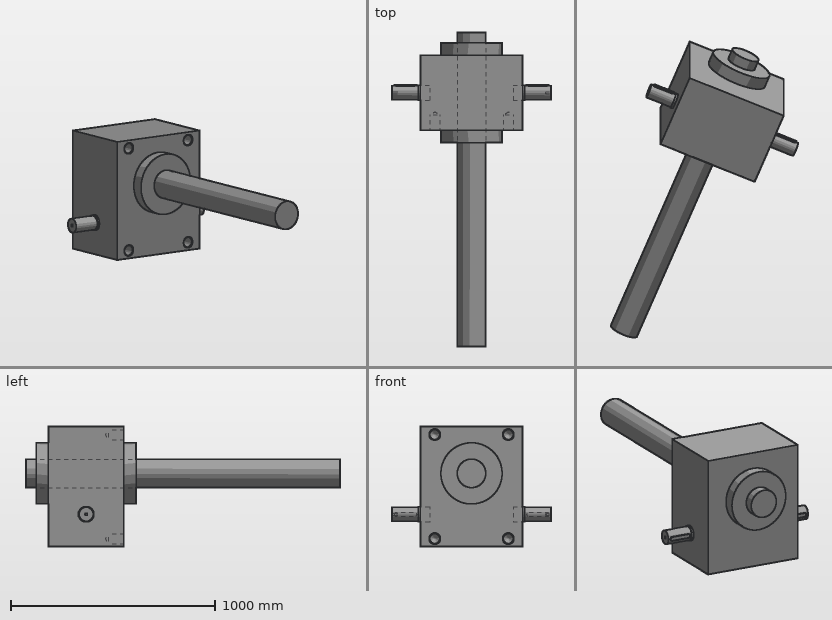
import cadquery as cq


HOUSING_WIDTH = 500.0
HOUSING_DEPTH = 370.0
HOUSING_HEIGHT = 590.0
BOSS_DIAMETER = 300.0
BOSS_PROJECTION = 60.0
BOSS_SPAN = HOUSING_DEPTH + 2 * BOSS_PROJECTION

HOLE_DIAMETER = 50.0
HOLE_MOUTH_DIAMETER = 55.0
HOLE_MOUTH_DEPTH = (HOLE_MOUTH_DIAMETER - HOLE_DIAMETER) / 2
HOLE_DEPTH = 77.0
HOLE_TIP_DEPTH = 15.0
HOLE_SPACING_X = 360.0
HOLE_SPACING_Z = 510.0

SCREW_DIAMETER = 140.0
SCREW_LENGTH = 1540.0
SCREW_FRONT_PROJECTION = 1000.0

STUB_SPAN = 780.0
STUB_DIAMETER = 70.0
JOURNAL_DIAMETER = 75.0
JOURNAL_PROJECTION = 11.0
SEAT_DEPTH = 46.0
CENTRE_HOLE_DIAMETER = 11.9
CENTRE_HOLE_DEPTH = 23.0
CENTRE_HOLE_TIP_DEPTH = CENTRE_HOLE_DIAMETER / 2

KEY_LENGTH = 110.0
KEY_WIDTH = 20.0
KEY_PROJECTION = 5.0
KEY_END_GAP = 11.0

STUB_Z = -135.0
AXIS_DISTANCE = 200.0
SCREW_Z = STUB_Z + AXIS_DISTANCE

HOUSING_FRONT_Y = -HOUSING_DEPTH / 2
BOSS_FRONT_Y = -BOSS_SPAN / 2
SCREW_FRONT_Y = BOSS_FRONT_Y - SCREW_FRONT_PROJECTION
STUB_OUTER_X = STUB_SPAN / 2
JOURNAL_OUTER_X = HOUSING_WIDTH / 2 + JOURNAL_PROJECTION
SEAT_FLOOR_X = HOUSING_WIDTH / 2 - SEAT_DEPTH


def cylinder_along_y(diameter, length, front_y):
    """Cylinder on the screw axis, running from front_y toward +Y."""
    plane = cq.Plane(origin=(0, front_y, SCREW_Z), xDir=(1, 0, 0), normal=(0, 1, 0))
    return cq.Workplane(plane).circle(diameter / 2).extrude(length)


def cylinder_along_x(diameter, side, inner_x, outer_x):
    """Cylinder on the stub axis, on the given X side, between two distances from the middle."""
    plane = cq.Plane(origin=(side * inner_x, 0, STUB_Z), xDir=(0, 1, 0), normal=(side, 0, 0))
    return cq.Workplane(plane).circle(diameter / 2).extrude(outer_x - inner_x)


def make_mounting_hole(x, z):
    """Drilled hole with a chamfered mouth and a conical bottom."""
    plane = cq.Plane(origin=(x, HOUSING_FRONT_Y, z), xDir=(1, 0, 0), normal=(0, 0, 1))
    return (
        cq.Workplane(plane)
        .lineTo(HOLE_MOUTH_DIAMETER / 2, 0)
        .lineTo(HOLE_DIAMETER / 2, HOLE_MOUTH_DEPTH)
        .lineTo(HOLE_DIAMETER / 2, HOLE_DEPTH)
        .lineTo(0, HOLE_DEPTH + HOLE_TIP_DEPTH)
        .close()
        .revolve(360, (0, 0), (0, 1))
    )


def make_stub_seat(side):
    """Blind recess that fits the journal of one drive stub."""
    return cylinder_along_x(JOURNAL_DIAMETER, side, SEAT_FLOOR_X, HOUSING_WIDTH / 2)


def make_housing():
    """Block with bosses, a bore for the screw, stub seats and mounting holes."""
    housing = cq.Workplane("XY").box(HOUSING_WIDTH, HOUSING_DEPTH, HOUSING_HEIGHT)
    housing = housing.union(cylinder_along_y(BOSS_DIAMETER, BOSS_SPAN, BOSS_FRONT_Y))
    housing = housing.cut(cylinder_along_y(SCREW_DIAMETER, BOSS_SPAN, BOSS_FRONT_Y))
    for side in (-1, 1):
        housing = housing.cut(make_stub_seat(side))
        for level in (-1, 1):
            hole = make_mounting_hole(side * HOLE_SPACING_X / 2, level * HOLE_SPACING_Z / 2)
            housing = housing.cut(hole)
    return housing


def make_screw():
    """Plain round lifting screw."""
    return cylinder_along_y(SCREW_DIAMETER, SCREW_LENGTH, SCREW_FRONT_Y)


def make_key(side):
    """Round-ended key that reaches from the stub axis out past the stub surface."""
    centre_x = side * (STUB_OUTER_X - KEY_END_GAP - KEY_LENGTH / 2)
    plane = cq.Plane(origin=(centre_x, 0, STUB_Z), xDir=(1, 0, 0), normal=(0, 1, 0))
    key_top = STUB_DIAMETER / 2 + KEY_PROJECTION
    return cq.Workplane(plane).slot2D(KEY_LENGTH, KEY_WIDTH).extrude(key_top)


def make_centre_hole(side):
    """Small blind hole with a conical bottom in the outer end face of one stub."""
    floor_x = side * CENTRE_HOLE_DEPTH
    tip_x = side * (CENTRE_HOLE_DEPTH + CENTRE_HOLE_TIP_DEPTH)
    radius = CENTRE_HOLE_DIAMETER / 2
    plane = cq.Plane(origin=(side * STUB_OUTER_X, 0, STUB_Z), xDir=(1, 0, 0), normal=(0, 0, 1))
    return (
        cq.Workplane(plane)
        .lineTo(0, radius)
        .lineTo(-floor_x, radius)
        .lineTo(-tip_x, 0)
        .close()
        .revolve(360, (0, 0), (1, 0))
    )


def make_stub(side):
    """Stepped drive stub with a key and a centre hole."""
    stub = cylinder_along_x(STUB_DIAMETER, side, SEAT_FLOOR_X, STUB_OUTER_X)
    stub = stub.union(cylinder_along_x(JOURNAL_DIAMETER, side, SEAT_FLOOR_X, JOURNAL_OUTER_X))
    stub = stub.union(make_key(side))
    return stub.cut(make_centre_hole(side))


housing = make_housing()
screw = make_screw()
stubs = [make_stub(side) for side in (-1, 1)]

result = cq.Compound.makeCompound([housing.val(), screw.val(), *[stub.val() for stub in stubs]])